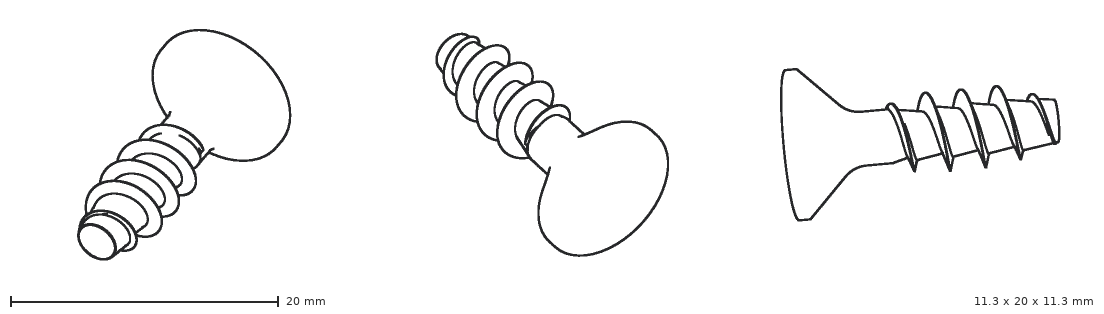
import cadquery as cq
import math

LENGTH = 20.0

HEAD_RADIUS = 5.65
RIM_HEIGHT = 0.86
RIM_ROUND = 0.1
SHANK_RADIUS = 2.03
SHANK_END_DEPTH = 7.45
CONE_ANGLE = 45.0
NECK_ROUND = 2.35

SHOULDER_SLOPE = math.tan(math.radians(14.5))
TIP_RADIUS = 1.6
TIP_SLOPE = math.tan(math.radians(8))
TIP_CHAMFER = 0.06

PITCH = 2.68
TURN = 360.0
THREAD_START_DEPTH = 7.31
STEP_ANGLE = 15.0
CUTTING_PASSES = 3

FULL_CREST_RADIUS = 3.0
START_CREST_RADIUS = 2.37
FADED_CREST_RADIUS = 1.63
FULL_CREST_DEPTH = 9.93
FADE_DEPTH = 15.9
RISE_SLOPE = (FULL_CREST_RADIUS - START_CREST_RADIUS) / (FULL_CREST_DEPTH - SHANK_END_DEPTH)
FADE_SLOPE = (FULL_CREST_RADIUS - FADED_CREST_RADIUS) / (LENGTH - FADE_DEPTH)

FLANK_SLOPE = 0.285
CREST_HALF_WIDTH = 0.015
MIN_TOOTH_HEIGHT = 0.05
CREST_CLEARANCE = 0.03

GAP_START_RADIUS = 1.97
GAP_END_RADIUS = 1.64
CUT_RADIUS = 4.0


def helix_depth(angle):
    return THREAD_START_DEPTH + PITCH * angle / TURN


def helix_angle(depth):
    return (depth - THREAD_START_DEPTH) / PITCH * TURN


def crest_radius(depth):
    rising = START_CREST_RADIUS + RISE_SLOPE * (depth - SHANK_END_DEPTH)
    fading = FULL_CREST_RADIUS - FADE_SLOPE * (depth - FADE_DEPTH)
    return min(rising, FULL_CREST_RADIUS, fading)


def core_radius(depth, gap_radius):
    """Core radius in the thread gap, held between the shoulder and tip cones."""
    shoulder = SHANK_RADIUS - SHOULDER_SLOPE * (depth - SHANK_END_DEPTH)
    tip = TIP_RADIUS + TIP_SLOPE * (LENGTH - depth)
    return min(max(gap_radius, shoulder), tip)


def flank(angle, side, gap_radius):
    """Root and crest corners (radius, depth) of one tooth flank; side +1 faces the tip."""
    middle = helix_depth(angle)
    full_height = FULL_CREST_RADIUS - gap_radius
    height = max(crest_radius(middle) - gap_radius, MIN_TOOTH_HEIGHT)
    half_width = CREST_HALF_WIDTH + FLANK_SLOPE * math.sqrt(height * full_height)
    root_depth = middle + side * half_width
    root_radius = core_radius(root_depth, gap_radius)
    tooth_radius = max(crest_radius(middle) + CREST_CLEARANCE, root_radius + MIN_TOOTH_HEIGHT)
    return (root_radius, root_depth), (tooth_radius, middle + side * CREST_HALF_WIDTH)


def gap_section(angle):
    """Corner points (radius, depth) of the gap between one turn and the next."""
    upper_root, upper_crest = flank(angle, 1, GAP_START_RADIUS)
    lower_root, lower_crest = flank(angle + TURN, -1, GAP_END_RADIUS)
    return [
        upper_root,
        upper_crest,
        (CUT_RADIUS, upper_crest[1]),
        (CUT_RADIUS, lower_crest[1]),
        lower_crest,
        lower_root,
    ]


def place(radius, depth, angle):
    """Point at a radius and depth, turned about the screw axis."""
    turned = math.radians(angle)
    return cq.Vector(radius * math.cos(turned), -depth, radius * math.sin(turned))


def helical_solid(section, start_angle, end_angle):
    """Solid traced by a section that changes as it winds about the axis."""
    steps = math.ceil((end_angle - start_angle) / STEP_ANGLE)
    angles = [start_angle + (end_angle - start_angle) * i / steps for i in range(steps + 1)]
    rows = [[place(r, d, angle) for r, d in section(angle)] for angle in angles]
    edges = [cq.Edge.makeSpline(list(path)) for path in zip(*rows)]
    sides = [cq.Face.makeRuledSurface(edges[i - 1], edges[i]) for i in range(len(edges))]
    ends = [cq.Face.makeFromWires(cq.Wire.makePolygon(row, close=True)) for row in (rows[0], rows[-1])]
    solid = cq.Solid.makeSolid(cq.Shell.makeShell(sides + ends))
    return cq.Workplane(obj=solid.fix())


def make_head():
    """Countersunk head and shank, joined by a rounded neck."""
    cone_end = RIM_HEIGHT + (HEAD_RADIUS - SHANK_RADIUS) / math.tan(math.radians(CONE_ANGLE))
    half_turn = math.radians(CONE_ANGLE / 2)
    tangent = NECK_ROUND * math.tan(half_turn)
    cone_tangent = (
        SHANK_RADIUS + tangent * math.sin(math.radians(CONE_ANGLE)),
        tangent * math.cos(math.radians(CONE_ANGLE)) - cone_end,
    )
    neck_end = -cone_end - tangent
    neck_middle = (
        SHANK_RADIUS + NECK_ROUND * (1 - math.cos(half_turn)),
        neck_end + NECK_ROUND * math.sin(half_turn),
    )
    turned = (
        cq.Workplane("XY")
        .lineTo(HEAD_RADIUS, 0)
        .lineTo(HEAD_RADIUS, -RIM_HEIGHT)
        .lineTo(*cone_tangent)
        .threePointArc(neck_middle, (SHANK_RADIUS, neck_end))
        .lineTo(SHANK_RADIUS, -SHANK_END_DEPTH)
        .lineTo(0, -SHANK_END_DEPTH)
        .close()
        .revolve(TURN, (0, 0), (0, 1))
    )
    rim = cq.selectors.BoxSelector(
        (-2 * HEAD_RADIUS, -RIM_HEIGHT - RIM_ROUND, -2 * HEAD_RADIUS),
        (2 * HEAD_RADIUS, RIM_ROUND, 2 * HEAD_RADIUS),
    )
    return turned.edges("%CIRCLE").edges(rim).fillet(RIM_ROUND)


def make_threaded_end():
    """Blank turned to the crest radius, with the gap between the turns cut away."""
    chamfer_depth = LENGTH - TIP_CHAMFER
    blank = (
        cq.Workplane("XY")
        .moveTo(0, -SHANK_END_DEPTH)
        .lineTo(START_CREST_RADIUS, -SHANK_END_DEPTH)
        .lineTo(FULL_CREST_RADIUS, -FULL_CREST_DEPTH)
        .lineTo(FULL_CREST_RADIUS, -FADE_DEPTH)
        .lineTo(crest_radius(chamfer_depth), -chamfer_depth)
        .lineTo(TIP_RADIUS - TIP_CHAMFER, -LENGTH)
        .lineTo(0, -LENGTH)
        .close()
        .revolve(TURN, (0, 0), (0, 1))
    )
    first_angle = helix_angle(SHANK_END_DEPTH) - TURN
    last_angle = helix_angle(LENGTH + CREST_HALF_WIDTH)
    span = (last_angle - first_angle) / CUTTING_PASSES
    for i in range(CUTTING_PASSES):
        start_angle = first_angle + i * span
        blank = blank.cut(helical_solid(gap_section, start_angle, start_angle + span))
    return blank


head = make_head()
result = head.union(make_threaded_end())